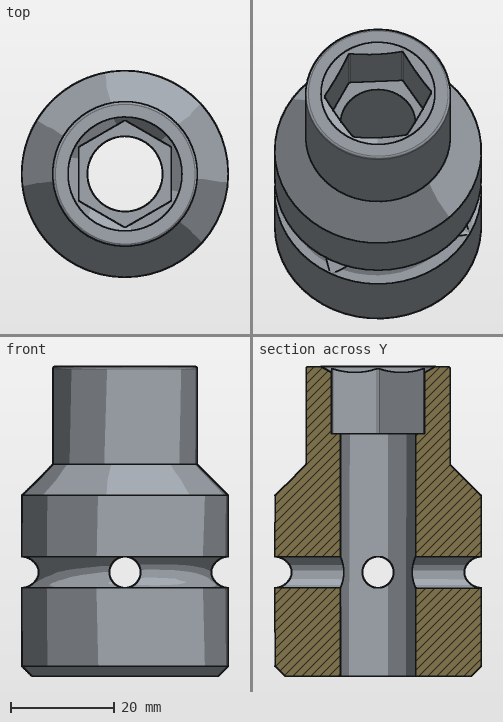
import cadquery as cq
import math

height = 60.0
body_radius = 40.0 / 2
neck_radius = 28.0 / 2
shoulder_bottom = 35.05
shoulder_top = 41.05
base_chamfer = 2.0
rim_round = 0.5

groove_height = 20.15
groove_radius = 3.0

bore_diameter = 14.5
hex_flats = 18.0
hex_depth = 13.0
hex_corner_round = 0.5
lead_in_radius = 11.05
lead_in_angle = 30.0


def make_body():
    """Turned outside: chamfered base, wide barrel, conical shoulder and rounded neck."""
    outline = (
        cq.Workplane("XZ")
        .lineTo(body_radius - base_chamfer, 0)
        .lineTo(body_radius, base_chamfer)
        .lineTo(body_radius, shoulder_bottom)
        .lineTo(neck_radius, shoulder_top)
        .lineTo(neck_radius, height)
        .lineTo(0, height)
        .close()
    )
    body = outline.revolve(360, (0, 0, 0), (0, 1, 0))
    return body.faces(">Z").edges().fillet(rim_round)


def make_groove():
    """Ring of round section, centered on the barrel surface."""
    section = cq.Workplane("XZ").center(body_radius, groove_height).circle(groove_radius)
    return section.revolve(360, (-body_radius, 0, 0), (-body_radius, 1, 0))


def make_cross_hole(plane):
    """Round pin hole through the whole barrel at groove height."""
    return (
        cq.Workplane(plane)
        .center(0, groove_height)
        .circle(groove_radius)
        .extrude(body_radius, both=True)
    )


def make_hex_socket():
    """Hexagonal pocket with rounded corners, cut from the rim, two corners on the Y axis."""
    across_corners = hex_flats / math.cos(math.radians(30))
    return (
        cq.Workplane("XY", origin=(0, 0, height - hex_depth))
        .transformed(rotate=(0, 0, 90))
        .polygon(6, across_corners)
        .extrude(hex_depth)
        .edges("|Z")
        .fillet(hex_corner_round)
    )


def make_lead_in():
    """Cone that trims the hexagon's flats at the rim."""
    depth = lead_in_radius * math.tan(math.radians(lead_in_angle))
    outline = (
        cq.Workplane("XZ")
        .moveTo(0, height)
        .lineTo(lead_in_radius, height)
        .lineTo(0, height - depth)
        .close()
    )
    return outline.revolve(360, (0, 0, 0), (0, 1, 0))


bore = cq.Workplane("XY").circle(bore_diameter / 2).extrude(height)

result = make_body().cut(bore).cut(make_groove())
result = result.cut(make_hex_socket()).cut(make_lead_in())
for plane in ("XZ", "YZ"):
    result = result.cut(make_cross_hole(plane))